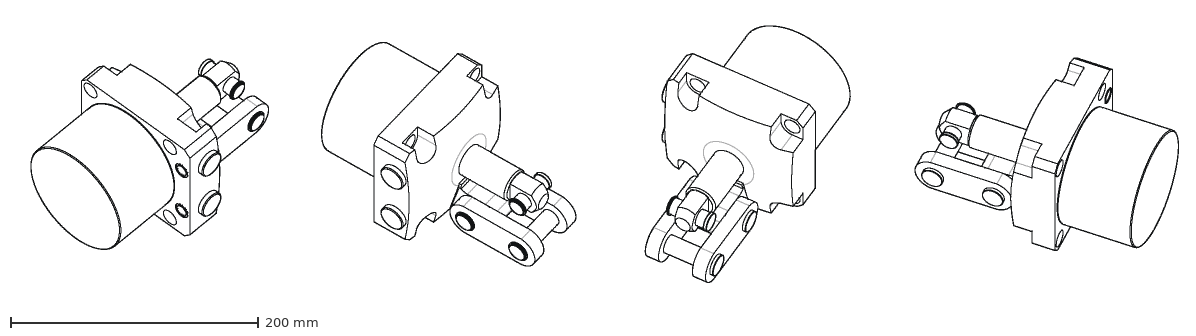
import cadquery as cq
import math


OVERALL_LENGTH = 199

HEIGHT = 108.0
HALF_HEIGHT = HEIGHT / 2
LEFT_X = -HALF_HEIGHT
RIGHT_X = 66.0
CORNER_CHAMFER = 6.0
FLANGE_THICKNESS = 20.0
NOSE_Y = 47.0
NOSE_FLAT_RADIUS = 23.5
NOSE_SLOPE = math.tan(math.radians(15))

BARREL_RADIUS = 50.0
BARREL_LENGTH = 65.0
BARREL_CHAMFER = 0.8
NECK_WIDTH = 0.8
NECK_DEPTH = 0.5

BOLT_OFFSET = 44.0
BOLT_HOLE_RADIUS = 7.2
BOLT_HEAD_RADIUS = 10.3

PORT_X = 57.0
PORT_Z = 25.0
PORT_GROOVE_OUTER_RADIUS = 6.8
PORT_GROOVE_INNER_RADIUS = 5.0
PORT_GROOVE_DEPTH = 1.0
PLUG_Y = 21.3
PLUG_RADIUS = 11.1
PLUG_LENGTH = 4.8
PLUG_CHAMFER = 0.8

ROD_RADIUS = 14.0
ROD_SHOULDER_Y = 94.1
SHOULDER_CHAMFER = 1.8
TIP_RADIUS = 13.1
TIP_Y = 121.8
TIP_CHAMFER = 6.2
TIP_THICKNESS = 16.1

LINK_Z = -37.5
LINK_FRONT_Y = OVERALL_LENGTH - BARREL_LENGTH
LINK_END_RADIUS = 16.1
LINK_HALF_HEIGHT = 16.0
LINK_PIN_SPACING = 53.3
LINK_INNER_X = 15.7
LINK_THICKNESS = 12.3
LINK_OUTER_X = LINK_INNER_X + LINK_THICKNESS
FRONT_PIN_Y = LINK_FRONT_Y - LINK_END_RADIUS
REAR_PIN_Y = FRONT_PIN_Y - LINK_PIN_SPACING
LINK_PIN_RADIUS = 8.0
LINK_PIN_HEAD_RADIUS = 9.2
LINK_RING_RADIUS = 9.2

ROD_PIN_Y = 108.5
ROD_PIN_RADIUS = 7.2
ROD_PIN_HEAD_RADIUS = 8.0
ROD_RING_RADIUS = 8.4
ROD_PIN_GRIP = 16.0

PIN_HEAD_LENGTH = 3.0
RING_GAP = 0.5
RING_THICKNESS = 1.0
PIN_CHAMFER = 0.4

LUG_HALF_WIDTH = 15.5
LUG_FRONT_Y = 83.0
LUG_TOP_Z = -21.7
LUG_FILLET = 8.0
LUG_BLEND_RADIUS = 10.0
LUG_BLEND_START_Y = 57.0
SHOULDER_FRONT_Y = 50.5
SHOULDER_BACK_Y = 49.4
SHOULDER_TOP_Z = -17.1
SHOULDER_BEVEL = 2.0
UNDERCUT_DEPTH = 2.4
UNDERCUT_OFFSET = 0.4


def cylinder_along_y(radius, start_y, end_y, x=0, z=0):
    return cq.Workplane("XY").add(
        cq.Solid.makeCylinder(radius, end_y - start_y, cq.Vector(x, start_y, z), cq.Vector(0, 1, 0))
    )


def cylinder_along_x(radius, start_x, end_x, y, z):
    return cq.Workplane("XY").add(
        cq.Solid.makeCylinder(radius, end_x - start_x, cq.Vector(start_x, y, z), cq.Vector(1, 0, 0))
    )


def box_between(low, high):
    size = [b - a for a, b in zip(low, high)]
    return cq.Workplane("XY").box(*size, centered=False).translate(low)


def nose_y(radius):
    """Y of the conical nose surface at a distance from the rod axis."""
    return NOSE_Y - NOSE_SLOPE * (radius - NOSE_FLAT_RADIUS)


def make_block():
    """Rectangular block with chamfered corners and a conical front."""
    block = box_between((LEFT_X, 0, -HALF_HEIGHT), (RIGHT_X, NOSE_Y, HALF_HEIGHT))
    block = block.edges("|Y").chamfer(CORNER_CHAMFER)
    envelope_radius = math.hypot(RIGHT_X, HALF_HEIGHT)
    nose = (
        cq.Workplane("XY")
        .polyline([
            (0, 0),
            (envelope_radius, 0),
            (envelope_radius, nose_y(envelope_radius)),
            (NOSE_FLAT_RADIUS, NOSE_Y),
            (0, NOSE_Y),
        ])
        .close()
        .revolve(360, (0, 0, 0), (0, 1, 0))
    )
    return block.intersect(nose)


def make_barrel():
    """Cylinder behind the mounting face, with a shallow neck next to it."""
    body = cylinder_along_y(BARREL_RADIUS, -BARREL_LENGTH, -NECK_WIDTH)
    body = body.faces("<Y").chamfer(BARREL_CHAMFER)
    return body.union(cylinder_along_y(BARREL_RADIUS - NECK_DEPTH, -NECK_WIDTH, 0))


def bolt_clearance(x_side, z_side):
    """Bolt hole and the pocket for the bolt head.

    The pockets are open to the top or bottom; those on the -X side are open to that side as well.
    """
    x = x_side * BOLT_OFFSET
    z = z_side * BOLT_OFFSET
    hole = cylinder_along_y(BOLT_HOLE_RADIUS, 0, FLANGE_THICKNESS, x, z)
    pocket = cylinder_along_y(BOLT_HEAD_RADIUS, FLANGE_THICKNESS, NOSE_Y, x, z)
    outer_z = z_side * HALF_HEIGHT
    opening = box_between(
        (x - BOLT_HEAD_RADIUS, FLANGE_THICKNESS, min(z, outer_z)),
        (x + BOLT_HEAD_RADIUS, NOSE_Y, max(z, outer_z)),
    )
    pocket = pocket.union(opening)
    if x_side < 0:
        inner_z = z - z_side * BOLT_HEAD_RADIUS
        side_opening = box_between(
            (LEFT_X, FLANGE_THICKNESS, min(inner_z, outer_z)),
            (x, NOSE_Y, max(inner_z, outer_z)),
        )
        pocket = pocket.union(side_opening)
    return hole.union(pocket)


def port_groove(z):
    outer = cylinder_along_y(PORT_GROOVE_OUTER_RADIUS, 0, PORT_GROOVE_DEPTH, PORT_X, z)
    return outer.cut(cylinder_along_y(PORT_GROOVE_INNER_RADIUS, 0, PORT_GROOVE_DEPTH, PORT_X, z))


def make_plug(z):
    plug = cylinder_along_x(PLUG_RADIUS, RIGHT_X, RIGHT_X + PLUG_LENGTH, PLUG_Y, z)
    return plug.faces(">X").chamfer(PLUG_CHAMFER)


def make_lug():
    """Lug below the rod, rounded in front and blending up to a shoulder at the nose."""
    run = LUG_BLEND_START_Y - SHOULDER_FRONT_Y
    half_angle = math.asin(run / LUG_BLEND_RADIUS) / 2
    blend_mid = (
        LUG_BLEND_START_Y - LUG_BLEND_RADIUS * math.sin(half_angle),
        LUG_TOP_Z + LUG_BLEND_RADIUS * (1 - math.cos(half_angle)),
    )
    blend_end_z = LUG_TOP_Z + LUG_BLEND_RADIUS * (1 - math.cos(2 * half_angle))
    lug = (
        cq.Workplane("YZ", origin=(-LUG_HALF_WIDTH, 0, 0))
        .moveTo(FLANGE_THICKNESS, -HALF_HEIGHT)
        .lineTo(LUG_FRONT_Y, -HALF_HEIGHT)
        .lineTo(LUG_FRONT_Y, LUG_TOP_Z)
        .lineTo(LUG_BLEND_START_Y, LUG_TOP_Z)
        .threePointArc(blend_mid, (SHOULDER_FRONT_Y, blend_end_z))
        .lineTo(SHOULDER_BACK_Y, SHOULDER_TOP_Z)
        .lineTo(FLANGE_THICKNESS, SHOULDER_TOP_Z)
        .close()
        .extrude(2 * LUG_HALF_WIDTH)
    )
    lug = lug.edges("|X and >Y").fillet(LUG_FILLET)
    lug = lug.faces(">Z").edges("|Y").chamfer(SHOULDER_BEVEL)
    return lug.cut(undercut()).cut(undercut().mirror("YZ"))


def undercut():
    """Wedge that narrows one side of the lug towards the sloping nose."""
    top_y = nose_y(-SHOULDER_TOP_Z) + UNDERCUT_OFFSET
    bottom_y = nose_y(HALF_HEIGHT) + UNDERCUT_OFFSET

    def wedge_section(y):
        return [
            (LUG_HALF_WIDTH, y),
            (LUG_HALF_WIDTH - UNDERCUT_DEPTH, y - UNDERCUT_DEPTH),
            (LUG_HALF_WIDTH, y - UNDERCUT_DEPTH),
        ]

    return (
        cq.Workplane("XY", origin=(0, 0, -HALF_HEIGHT))
        .polyline(wedge_section(bottom_y))
        .close()
        .workplane(offset=HALF_HEIGHT + SHOULDER_TOP_Z)
        .polyline(wedge_section(top_y))
        .close()
        .loft(ruled=True)
    )


def make_pin(y, z, grip, radius, head_radius, ring_radius):
    """Pin along X: head on the -X side, retaining ring on the +X side."""
    half_length = grip + PIN_HEAD_LENGTH
    ring_start = grip + RING_GAP
    shaft = cylinder_along_x(radius, -grip, half_length, y, z).faces(">X").chamfer(PIN_CHAMFER)
    head = cylinder_along_x(head_radius, -half_length, -grip, y, z).faces("<X").chamfer(PIN_CHAMFER)
    ring = cylinder_along_x(ring_radius, ring_start, ring_start + RING_THICKNESS, y, z)
    return shaft.union(head).union(ring)


def make_link_pin(y):
    return make_pin(y, LINK_Z, LINK_OUTER_X, LINK_PIN_RADIUS, LINK_PIN_HEAD_RADIUS, LINK_RING_RADIUS)


def make_rod():
    """Rod with a chamfered shoulder, a flattened tip and the cross pin fixed in it."""
    shank = cylinder_along_y(ROD_RADIUS, 0, ROD_SHOULDER_Y).faces(">Y").chamfer(SHOULDER_CHAMFER)
    tip = cylinder_along_y(TIP_RADIUS, ROD_SHOULDER_Y, TIP_Y).faces(">Y").chamfer(TIP_CHAMFER)
    flats = box_between(
        (-TIP_THICKNESS / 2, ROD_SHOULDER_Y, -TIP_RADIUS),
        (TIP_THICKNESS / 2, TIP_Y, TIP_RADIUS),
    )
    cross_pin = make_pin(ROD_PIN_Y, 0, ROD_PIN_GRIP, ROD_PIN_RADIUS, ROD_PIN_HEAD_RADIUS, ROD_RING_RADIUS)
    return shank.union(tip.intersect(flats)).union(cross_pin)


def make_housing():
    """Block, barrel, lug, plugs and rod as one solid."""
    housing = make_block().union(make_lug())
    for x_side in (-1, 1):
        for z_side in (-1, 1):
            housing = housing.cut(bolt_clearance(x_side, z_side))
    for z in (-PORT_Z, PORT_Z):
        housing = housing.cut(port_groove(z)).union(make_plug(z))
    pin_hole = cylinder_along_x(LINK_PIN_RADIUS, -LUG_HALF_WIDTH, LUG_HALF_WIDTH, REAR_PIN_Y, LINK_Z)
    return housing.cut(pin_hole).union(make_barrel()).union(make_rod())


def make_link(start_x):
    """Flat link with two pin holes; the end arcs are centred on the pins."""
    tangent_offset = math.sqrt(LINK_END_RADIUS**2 - LINK_HALF_HEIGHT**2)
    front_corner_y = FRONT_PIN_Y + tangent_offset
    rear_corner_y = REAR_PIN_Y - tangent_offset
    top_z = LINK_Z + LINK_HALF_HEIGHT
    bottom_z = LINK_Z - LINK_HALF_HEIGHT
    return (
        cq.Workplane("YZ", origin=(start_x, 0, 0))
        .moveTo(rear_corner_y, bottom_z)
        .lineTo(front_corner_y, bottom_z)
        .threePointArc((LINK_FRONT_Y, LINK_Z), (front_corner_y, top_z))
        .lineTo(rear_corner_y, top_z)
        .threePointArc((REAR_PIN_Y - LINK_END_RADIUS, LINK_Z), (rear_corner_y, bottom_z))
        .close()
        .pushPoints([(FRONT_PIN_Y, LINK_Z), (REAR_PIN_Y, LINK_Z)])
        .circle(LINK_PIN_RADIUS)
        .extrude(LINK_THICKNESS)
    )


housing = make_housing()
links = [make_link(start_x) for start_x in (-LINK_OUTER_X, LINK_INNER_X)]
link_pins = [make_link_pin(y) for y in (FRONT_PIN_Y, REAR_PIN_Y)]

result = cq.Compound.makeCompound(
    [housing.val(), *[link.val() for link in links], *[pin.val() for pin in link_pins]]
)